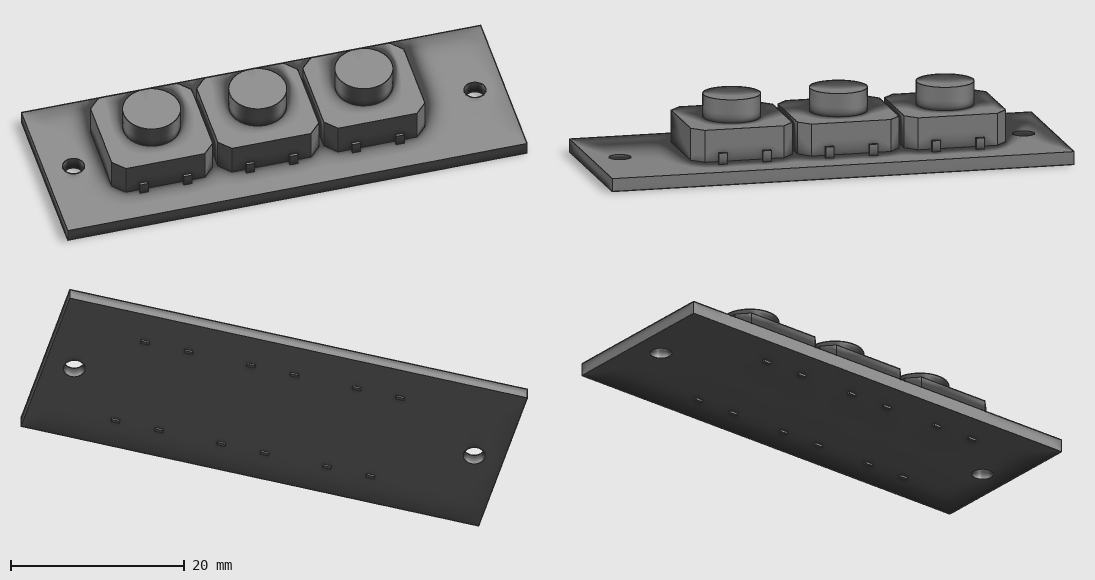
import cadquery as cq

plate_width = 20.3
plate_length = 54.85
plate_thickness = 1.55
mount_hole_diameter = 2.5
mount_hole_inset = 3.45

switch_count = 3
switch_pitch = 12.7
middle_switch_y = -2.0
body_width = 12.05
body_length = 12.05
body_height = 3.8
body_clearance = 0.3
corner_cut_x = 1.4
corner_cut_y = 1.3
button_diameter = 6.7
button_height = 2.75

pin_width = 1.0
pin_thickness = 0.35
pin_spacing = 5.2
pin_rise = 1.3
pin_drop = 0.3

body_top = body_clearance + body_height


def make_plate():
    """Flat plate with its top face at Z = 0 and a mounting hole near each end."""
    hole_y = plate_length / 2 - mount_hole_inset
    plate = cq.Workplane("XY").box(plate_width, plate_length, plate_thickness, centered=(True, True, False))
    holes = (
        cq.Workplane("XY")
        .pushPoints([(0, hole_y), (0, -hole_y)])
        .circle(mount_hole_diameter / 2)
        .extrude(plate_thickness)
    )
    return plate.cut(holes).translate((0, 0, -plate_thickness))


def make_body():
    """Switch housing with cut vertical corners, held just above the plate."""
    half_x = body_width / 2
    half_y = body_length / 2
    flat_x = half_x - corner_cut_x
    flat_y = half_y - corner_cut_y
    outline = [
        (flat_x, half_y),
        (half_x, flat_y),
        (half_x, -flat_y),
        (flat_x, -half_y),
        (-flat_x, -half_y),
        (-half_x, -flat_y),
        (-half_x, flat_y),
        (-flat_x, half_y),
    ]
    return cq.Workplane("XY").workplane(offset=body_clearance).polyline(outline).close().extrude(body_height)


def make_button():
    """Round push button standing on the housing."""
    return cq.Workplane("XY").workplane(offset=body_top).circle(button_diameter / 2).extrude(button_height)


def make_pins():
    """Two pins against each X face of the housing, passing down through the plate."""
    pin_x = (body_width + pin_thickness) / 2
    pin_bottom = -plate_thickness - pin_drop
    return (
        cq.Workplane("XY")
        .workplane(offset=pin_bottom)
        .rarray(2 * pin_x, pin_spacing, 2, 2)
        .rect(pin_thickness, pin_width)
        .extrude(pin_rise - pin_bottom)
    )


def make_switch():
    """One complete switch centred on the origin."""
    return make_body().union(make_button()).union(make_pins())


result = make_plate()
for index in range(switch_count):
    switch_y = middle_switch_y + (index - (switch_count - 1) / 2) * switch_pitch
    result = result.union(make_switch().translate((0, switch_y, 0)))